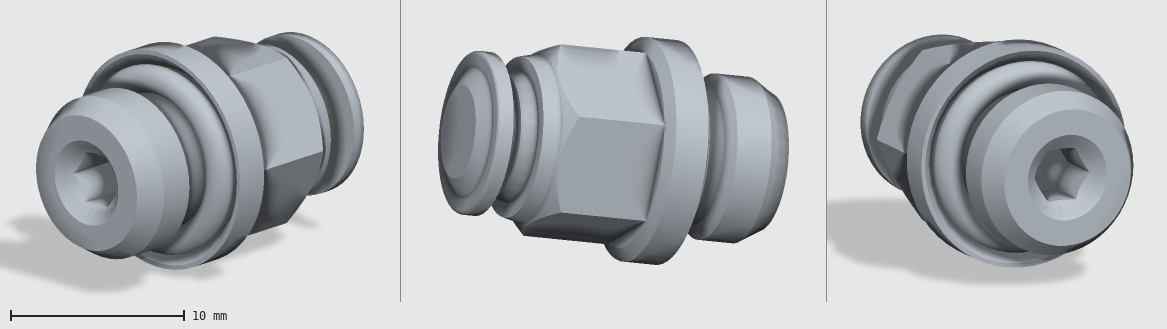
import cadquery as cq
import math

length = 18.9

thread_radius = 4.82
spigot_radius = 4.0
lead_chamfer = 1.4
thread_top = 3.52
undercut_start = 4.0

flange_radius = 6.5
flange_bottom = 6.0
flange_top = 8.43
flange_chamfer_height = 0.43
flange_chamfer_width = 0.75
recess_mouth_radius = 6.24
recess_floor_radius = 5.3
recess_depth = 1.13
ring_radius = 4.8
ring_section_radius = ring_radius - spigot_radius
ring_center = 6.07
ring_overlap = 0.02

hex_flats = 10.0
hex_corner_radius = hex_flats / math.sqrt(3)
hex_corner_top = 13.68
hex_top = 14.5

collar_base_radius = 4.9
collar_top_radius = 4.67
collar_top = 15.5
step_base_radius = 3.78
step_top_radius = 3.53
step_top = 16.42

neck_radius = 2.74
neck_fillet = 0.45
button_radius = 4.75
button_bottom = 17.37
button_shoulder = 18.31
button_edge_fillet = 0.23
dome_base_radius = 3.78
dome_top_radius = 2.7

socket_flats = 3.02
socket_corners = socket_flats * 2 / math.sqrt(3)
socket_mouth_radius = 2.51
socket_cone_depth = 0.98
socket_depth = 3.78


def turned(outline):
    """Revolve a closed (radius, Y) outline about the Y axis."""
    return outline.close().revolve(360, (0, 0, 0), (0, 1, 0))


def prism(across_corners, start, end):
    """Hexagonal prism along Y with flats facing +Z and -Z."""
    plane = cq.Plane(origin=(0, start, 0), xDir=(1, 0, 0), normal=(0, 1, 0))
    return cq.Workplane(plane).polygon(6, across_corners).extrude(end - start)


def base():
    """Threaded spigot and flange with the conical ring recess."""
    return turned(
        cq.Workplane("XY")
        .moveTo(0, 0)
        .lineTo(spigot_radius, 0)
        .lineTo(thread_radius, lead_chamfer)
        .lineTo(thread_radius, thread_top)
        .lineTo(spigot_radius, undercut_start)
        .lineTo(spigot_radius, flange_bottom + recess_depth)
        .lineTo(recess_floor_radius, flange_bottom + recess_depth)
        .lineTo(recess_mouth_radius, flange_bottom)
        .lineTo(flange_radius, flange_bottom)
        .lineTo(flange_radius, flange_top - flange_chamfer_height)
        .lineTo(flange_radius - flange_chamfer_width, flange_top)
        .lineTo(0, flange_top)
    )


def sealing_ring():
    """Round-section ring, sunk slightly into the spigot so both join."""
    return (
        cq.Workplane("XY")
        .center(ring_radius, ring_center)
        .circle(ring_section_radius + ring_overlap)
        .revolve(360, (-ring_radius, 0, 0), (-ring_radius, 1, 0))
    )


def hex_body():
    """Hexagon whose upper corners are turned off by a cone."""
    envelope = turned(
        cq.Workplane("XY")
        .moveTo(0, flange_top)
        .lineTo(hex_corner_radius, flange_top)
        .lineTo(hex_corner_radius, hex_corner_top)
        .lineTo(collar_base_radius, hex_top)
        .lineTo(0, hex_top)
    )
    return prism(2 * hex_corner_radius, flange_top, hex_top).intersect(envelope)


def collars_and_button():
    """Two tapered collars, the filleted neck and the release button."""
    arc_offset = neck_fillet * (1 - math.sqrt(0.5))
    return turned(
        cq.Workplane("XY")
        .moveTo(0, hex_top)
        .lineTo(collar_base_radius, hex_top)
        .lineTo(collar_top_radius, collar_top)
        .lineTo(step_base_radius, collar_top)
        .lineTo(step_top_radius, step_top)
        .lineTo(neck_radius, step_top)
        .lineTo(neck_radius, button_bottom - neck_fillet)
        .threePointArc(
            (neck_radius + arc_offset, button_bottom - arc_offset),
            (neck_radius + neck_fillet, button_bottom),
        )
        .lineTo(button_radius, button_bottom)
        .lineTo(button_radius, button_shoulder - button_edge_fillet)
        .radiusArc(
            (button_radius - button_edge_fillet, button_shoulder), -button_edge_fillet
        )
        .lineTo(dome_base_radius, button_shoulder)
        .lineTo(dome_top_radius, length)
        .lineTo(0, length)
    )


def socket():
    """Blind hexagon socket; its cone narrows to the hexagon's inscribed circle."""
    cone = turned(
        cq.Workplane("XY")
        .moveTo(0, 0)
        .lineTo(socket_mouth_radius, 0)
        .lineTo(socket_flats / 2, socket_cone_depth)
        .lineTo(0, socket_cone_depth)
    )
    return cone.union(prism(socket_corners, 0, socket_depth))


result = (
    base()
    .union(sealing_ring())
    .union(hex_body())
    .union(collars_and_button())
    .cut(socket())
)